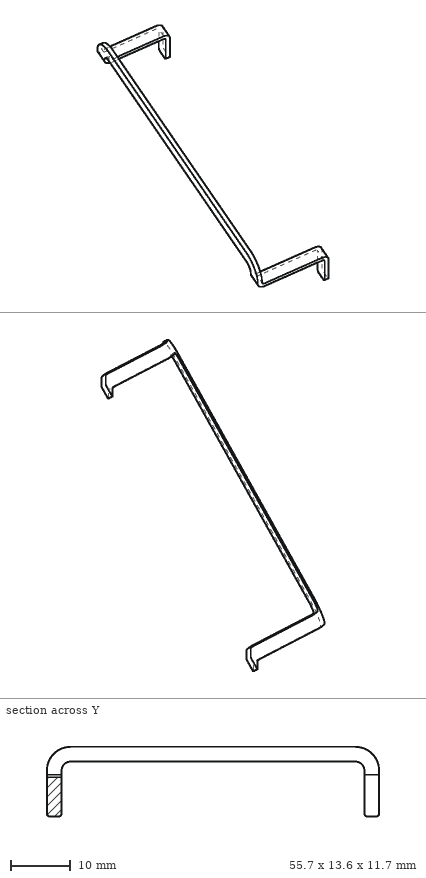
import cadquery as cq

LENGTH = 55.7
HEIGHT = 11.7
RIGHT_DEPTH = 13.55
LEFT_DEPTH = 12.55

THICKNESS = 0.8
STRIP_WIDTH = 2.5
BEND_INNER_RADIUS = 0.5
BEND_OUTER_RADIUS = BEND_INNER_RADIUS + THICKNESS

BOW_OUTER_RADIUS = 4.0
BOW_INNER_RADIUS = BOW_OUTER_RADIUS - STRIP_WIDTH
BOW_DROP = 4.2

TIP_RADIUS = 0.5

ARM_TOP = -BOW_DROP - BEND_INNER_RADIUS
ARM_BOTTOM = ARM_TOP - THICKNESS


def make_bow():
    """Flat bar in the front plane, turned down at both ends."""
    outer = (
        cq.Workplane("XY")
        .box(LENGTH, THICKNESS, BOW_DROP, centered=(True, False, False))
        .translate((0, 0, -BOW_DROP))
        .edges("|Y and >Z")
        .fillet(BOW_OUTER_RADIUS)
    )
    opening = (
        cq.Workplane("XY")
        .box(LENGTH - 2 * STRIP_WIDTH, THICKNESS, BOW_DROP, centered=(True, False, False))
        .translate((0, 0, -BOW_DROP - STRIP_WIDTH))
        .edges("|Y and >Z")
        .fillet(BOW_INNER_RADIUS)
    )
    return outer.cut(opening)


def make_arm(left_edge, depth):
    """Strip bent from the bow back along Y, then down into a leg."""
    leg_front = depth - THICKNESS
    leg_bend_start = depth - BEND_OUTER_RADIUS
    leg_top = ARM_TOP - BEND_OUTER_RADIUS
    arm = (
        cq.Workplane("YZ")
        .moveTo(0, -BOW_DROP)
        .radiusArc((BEND_OUTER_RADIUS, ARM_BOTTOM), -BEND_OUTER_RADIUS)
        .lineTo(leg_bend_start, ARM_BOTTOM)
        .radiusArc((leg_front, leg_top), BEND_INNER_RADIUS)
        .lineTo(leg_front, -HEIGHT)
        .lineTo(depth, -HEIGHT)
        .lineTo(depth, leg_top)
        .radiusArc((leg_bend_start, ARM_TOP), -BEND_OUTER_RADIUS)
        .lineTo(BEND_OUTER_RADIUS, ARM_TOP)
        .radiusArc((THICKNESS, -BOW_DROP), BEND_INNER_RADIUS)
        .close()
        .extrude(STRIP_WIDTH)
    )
    arm = arm.edges("|Y and <Z").fillet(TIP_RADIUS)
    return arm.translate((left_edge, 0, 0))


left_arm = make_arm(-LENGTH / 2, LEFT_DEPTH)
right_arm = make_arm(LENGTH / 2 - STRIP_WIDTH, RIGHT_DEPTH)

result = make_bow().union(left_arm).union(right_arm)